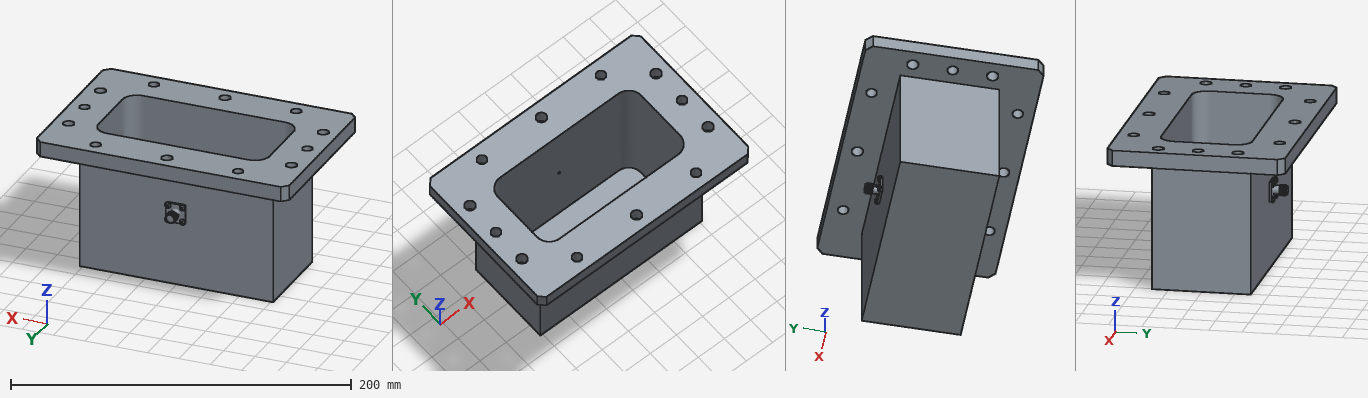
import cadquery as cq

flange_length = 161.0
flange_width = 106.5
flange_thickness = 9.5
flange_corner = 3.9

total_height = 88.9
body_length = 123.4
body_width = 59.1

cavity_length = 109.2
cavity_width = 54.6
cavity_radius = 9.5
wall_thickness = (body_width - cavity_width) / 2
floor_thickness = wall_thickness

hole_diameter = 6.3
large_hole_diameter = 6.8
hole_row_y = 43.6
hole_row_spacing = 45.4
hole_column_x = 71.0
hole_column_spacing = 23.8

connector_depth = 42.0
connector_reach = 9.5
plate_size = 12.2
plate_thickness = 1.3
plate_corner_radius = 1.3
neck_diameter = 5.3
neck_fillet = 0.5
thread_diameter = 6.3
thread_start = 5.2
thread_pitch = 0.71
ridge_count = 5
cross_hole_diameter = 1.27
cross_hole_position = 3.4
feed_hole_diameter = 1.27

screw_diameter = 3.5
screw_tip_diameter = 1.53
screw_height = 1.5
screw_rim_height = 0.6
screw_offset = 4.7

wall_y = body_width / 2
overlap = 0.2


def make_housing():
    flange = (
        cq.Workplane("XY")
        .box(flange_length, flange_width, flange_thickness, centered=(True, True, False))
        .translate((0, 0, -flange_thickness))
        .edges("|Z")
        .chamfer(flange_corner)
    )
    body = (
        cq.Workplane("XY")
        .box(body_length, body_width, total_height, centered=(True, True, False))
        .translate((0, 0, -total_height))
    )
    cavity_depth = total_height - floor_thickness
    cavity = (
        cq.Workplane("XY")
        .box(cavity_length, cavity_width, cavity_depth, centered=(True, True, False))
        .translate((0, 0, -cavity_depth))
        .edges("|Z")
        .fillet(cavity_radius)
    )
    return flange.union(body).cut(cavity)


def drill_flange(housing):
    small_points = []
    large_points = []
    for side in (-1, 1):
        large_points.append((0, side * hole_row_y))
        small_points.append((side * hole_column_x, 0))
        for end in (-1, 1):
            small_points.append((end * hole_row_spacing, side * hole_row_y))
            large_points.append((side * hole_column_x, end * hole_column_spacing))
    for points, diameter in ((small_points, hole_diameter), (large_points, large_hole_diameter)):
        drills = (
            cq.Workplane("XY")
            .pushPoints(points)
            .circle(diameter / 2)
            .extrude(-flange_thickness)
        )
        housing = housing.cut(drills)
    return housing


def connector_plane(distance):
    """Work plane facing +Y, centred on the connector, at a distance from the body wall."""
    return cq.Workplane(
        cq.Plane(
            origin=(0, wall_y + distance, -connector_depth),
            xDir=(-1, 0, 0),
            normal=(0, 1, 0),
        )
    )


def make_plate():
    """Square plate with a rounded root around the neck."""
    plate = (
        connector_plane(-overlap)
        .rect(plate_size, plate_size)
        .extrude(plate_thickness + overlap)
        .edges("|Y")
        .fillet(plate_corner_radius)
    )
    neck_radius = neck_diameter / 2
    root = (
        cq.Workplane("XY")
        .moveTo(0, plate_thickness - overlap)
        .lineTo(neck_radius + neck_fillet, plate_thickness - overlap)
        .lineTo(neck_radius + neck_fillet, plate_thickness)
        .radiusArc((neck_radius, plate_thickness + neck_fillet), neck_fillet)
        .lineTo(0, plate_thickness + neck_fillet)
        .close()
        .revolve(360, (0, 0, 0), (0, 1, 0))
        .translate((0, wall_y, -connector_depth))
    )
    return plate.union(root)


def make_barrel():
    """Neck with a cross hole, ending in a barrel with ring-shaped thread ridges."""
    neck = connector_plane(0).circle(neck_diameter / 2).extrude(connector_reach)
    cross_hole = (
        cq.Workplane("YZ")
        .center(wall_y + cross_hole_position, -connector_depth)
        .circle(cross_hole_diameter / 2)
        .extrude(-neck_diameter / 2)
    )
    neck = neck.cut(cross_hole)

    root_radius = neck_diameter / 2
    crest_radius = thread_diameter / 2
    crest_width = thread_pitch / 3
    thread_end = thread_start + ridge_count * thread_pitch
    profile = [(0, thread_start)]
    for ridge in range(ridge_count):
        ridge_start = thread_start + ridge * thread_pitch
        profile.append((root_radius, ridge_start))
        profile.append((crest_radius, ridge_start + crest_width))
        profile.append((crest_radius, ridge_start + 2 * crest_width))
    profile.append((root_radius, thread_end))
    profile.append((0, thread_end))
    thread = (
        cq.Workplane("XY")
        .polyline(profile)
        .close()
        .revolve(360, (0, 0, 0), (0, 1, 0))
        .translate((0, wall_y, -connector_depth))
    )
    return neck.union(thread)


def make_screws():
    """Four screw heads, each a short rim under a cone that narrows to a flat tip."""
    base_radius = screw_diameter / 2
    tip_radius = screw_tip_diameter / 2
    head = (
        cq.Workplane("XY")
        .moveTo(0, -overlap)
        .lineTo(base_radius, -overlap)
        .lineTo(base_radius, screw_rim_height)
        .lineTo(tip_radius, screw_height)
        .lineTo(0, screw_height)
        .close()
        .revolve(360, (0, 0, 0), (0, 1, 0))
    )
    screws = cq.Workplane("XY")
    for x in (-screw_offset, screw_offset):
        for z in (-screw_offset, screw_offset):
            screws = screws.union(head.translate((x, wall_y + plate_thickness, z - connector_depth)))
    return screws


def drill_feed(part):
    """Small blind hole from the cavity through the wall, ending at the connector plate."""
    feed_hole = connector_plane(-wall_thickness).circle(feed_hole_diameter / 2).extrude(wall_thickness)
    return part.cut(feed_hole)


housing = drill_flange(make_housing())
result = housing.union(make_plate()).union(make_barrel()).union(make_screws())
result = drill_feed(result)